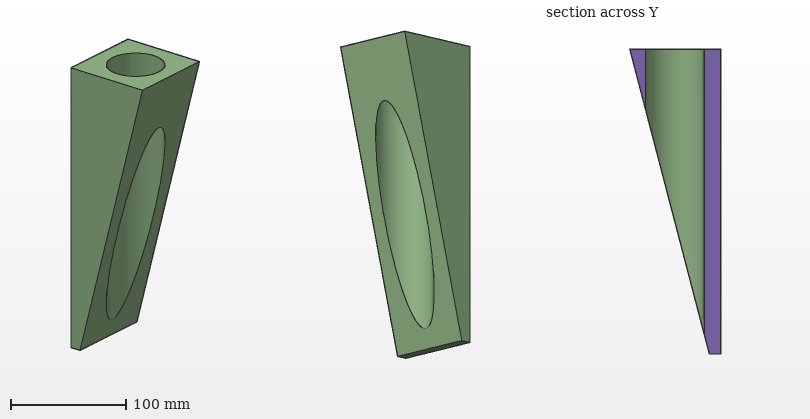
import cadquery as cq

height = 265.0
top_width = 79.2
bottom_width = 10.0
depth = 80.0

bore_diameter = 51.0
bore_from_back = depth / 2

wedge_outline = [
    (0, 0),
    (bottom_width, 0),
    (top_width, height),
    (0, height),
]
wedge = cq.Workplane("XZ").polyline(wedge_outline).close().extrude(depth / 2, both=True)

bore = (
    cq.Workplane("XY")
    .center(bore_from_back, 0)
    .circle(bore_diameter / 2)
    .extrude(height)
)

result = wedge.cut(bore)